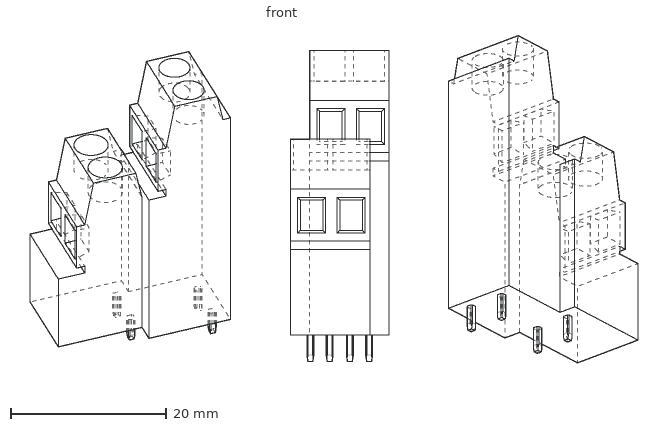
import cadquery as cq


total_width = 12.7
total_depth = 22.8
total_height = 40.1
poles_per_row = 2
pitch = 5.1
row_width = 10.23
rear_x = total_width - row_width
row_spacing = 10.25
level_rise = 11.43
pin_length = 3.4
housing_height = total_height - pin_length

top_z = housing_height - level_rise
top_front_y = 4.85
top_back_y = 10.7
neck_front_y = 3.65
neck_back_y = 11.5
back_step_z = 21.3
frame_y = 2.53
frame_top_z = 18.8
frame_bottom_z = 12.1
shelf_z = 11.03
front_row_back_y = 12.65
rear_row_front_y = 11.55

opening_width = 3.6
opening_height = 4.6
opening_depth = 2.1
opening_x_shift = 0.15
opening_inset = 0.35
opening_z = (frame_top_z + frame_bottom_z) / 2

front_hole_diameter = 4.4
rear_hole_diameter = 4.0
hole_depth = 4.0
front_hole_y = 7.45
rear_hole_y = 18.0

pin_side = 0.92
pin_corner = 0.15
pin_tip_side = 0.65
pin_tip_length = 0.85
front_pin_y = 11.0


def row_block(x_start, y_shift, z_shift, front_y, back_y):
    """One row of the housing: the side outline extruded along X."""
    upper_outline = [
        (neck_back_y, back_step_z),
        (top_back_y, top_z),
        (top_front_y, top_z),
        (neck_front_y, frame_top_z),
        (frame_y, frame_top_z),
        (frame_y, frame_bottom_z),
        (neck_front_y, frame_bottom_z),
        (neck_front_y, shelf_z),
    ]
    shifted = [(y + y_shift, z + z_shift) for y, z in upper_outline]
    outline = [
        (back_y, 0),
        (back_y, back_step_z + z_shift),
        *shifted,
        (front_y, shelf_z + z_shift),
        (front_y, 0),
    ]
    return cq.Workplane("YZ", origin=(x_start, 0, 0)).polyline(outline).close().extrude(row_width)


def wire_opening(x, y, z):
    """Tapered rectangular pocket that goes in along +Y from the frame face."""
    return (
        cq.Workplane("XZ", origin=(x, y, z))
        .rect(opening_width, opening_height)
        .workplane(offset=-opening_depth)
        .rect(opening_width - 2 * opening_inset, opening_height - 2 * opening_inset)
        .loft(ruled=True)
    )


def screw_hole(x, y, z, diameter):
    """Blind round hole that goes down from the top face of a row."""
    return cq.Workplane("XY", origin=(x, y, z)).circle(diameter / 2).extrude(-hole_depth)


def solder_pin(x, y):
    """Square pin with chamfered corners and a tapered tip, hanging from the underside."""
    shank_length = pin_length - pin_tip_length
    bar = cq.Workplane("XY").rect(pin_side, pin_side).extrude(-pin_length)
    chamfered_bar = bar.edges("|Z").chamfer(pin_corner)
    shank_envelope = cq.Workplane("XY").rect(pin_side, pin_side).extrude(-shank_length)
    tip_envelope = (
        cq.Workplane("XY", origin=(0, 0, -shank_length))
        .rect(pin_side, pin_side)
        .workplane(offset=-pin_tip_length)
        .rect(pin_tip_side, pin_tip_side)
        .loft(ruled=True)
    )
    return chamfered_bar.intersect(shank_envelope.union(tip_envelope)).translate((x, y, 0))


def pole_places(x_start):
    """X places of the poles of a row."""
    first_x = x_start + (row_width - (poles_per_row - 1) * pitch) / 2
    return [first_x + pole * pitch for pole in range(poles_per_row)]


front_row = row_block(0, 0, 0, 0, front_row_back_y)
rear_row = row_block(rear_x, row_spacing, level_rise, rear_row_front_y, total_depth)
housing = front_row.union(rear_row)

for x in pole_places(0):
    housing = housing.cut(wire_opening(x + opening_x_shift, frame_y, opening_z))
    housing = housing.cut(screw_hole(x, front_hole_y, top_z, front_hole_diameter))

for x in pole_places(rear_x):
    housing = housing.cut(wire_opening(x + opening_x_shift, frame_y + row_spacing, opening_z + level_rise))
    housing = housing.cut(screw_hole(x, rear_hole_y, housing_height, rear_hole_diameter))

pins = [solder_pin(x, front_pin_y).val() for x in pole_places(0)]
pins += [solder_pin(x, front_pin_y + row_spacing).val() for x in pole_places(rear_x)]

result = cq.Compound.makeCompound([housing.val(), *pins])